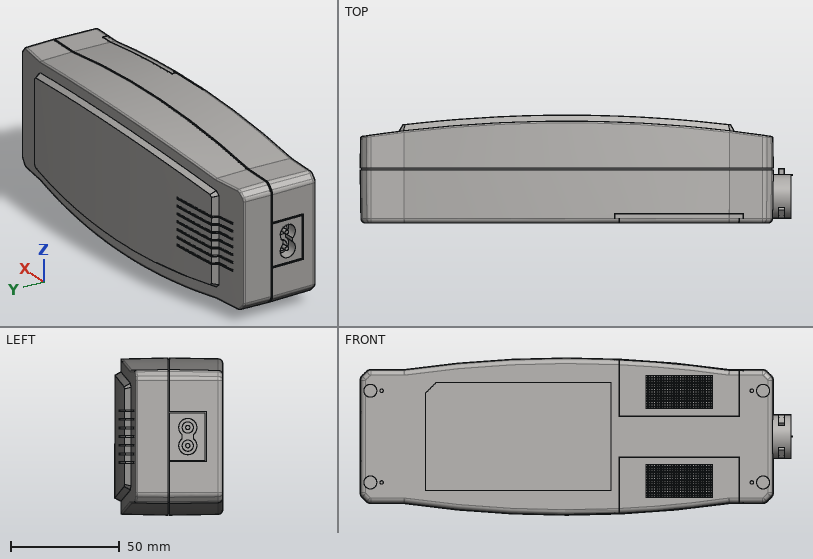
import cadquery as cq
import math

HALF_LENGTH = 94.9
HALF_WIDTH = 30.8
BULGE = 5.4
BULGE_HALF_LENGTH = 74.6
CORNER_CHAMFER = 3.8
CORNER_RADIUS = 3.0
FRONT_DEPTH = 24.8
BACK_DEPTH_MIDDLE = 22.0
BACK_DEPTH_END = 14.9
DRAFT = 1.0
FRONT_FILLET = 2.2
BACK_FILLET = 0.8

PAD_HEIGHT = 2.8
PAD_HALF_LENGTH = 77.0
PAD_HALF_WIDTH_END = 24.6
PAD_HALF_WIDTH_MIDDLE = 32.5
PAD_BASE_Y = 17.3
PAD_TOP_Y = BACK_DEPTH_MIDDLE + PAD_HEIGHT
PAD_BEVEL_ANGLE = 30.0
PAD_CORNER = 2.0
PAD_SLOT_COUNT = 7
PAD_SLOT_PITCH = 4.0
PAD_SLOT_WIDTH = 0.8
PAD_SLOT_START = -86.3
PAD_SLOT_END = -49.6

SEAM_DEPTH = 0.5
SEAM_WIDTH = 0.2
PARTING_WIDTH = 0.8

LABEL_LEFT = -64.7
LABEL_RIGHT = 20.2
LABEL_HALF_WIDTH = 24.8
LABEL_CHAMFER = 4.8
LABEL_DEPTH = 0.5

COVER_LEFT = 24.0
COVER_RIGHT = 79.2
COVER_INNER_Z = 9.3
COVER_SIDE_EXTRA = 2.0
COVER_SIDE_HEIGHT = 4.4
VENT_CENTRE_X = 51.5
VENT_CENTRE_Z = 20.5
VENT_COLUMNS = 26
VENT_ROWS = 13
VENT_PITCH = 1.2
VENT_HOLE = 0.8
VENT_DEPTH = 2.0

FOOT_X = 90.0
FOOT_Z = 21.0
FOOT_RADIUS = 3.0
FOOT_DEPTH = 1.5
PIN_HOLE_X = 85.0
PIN_HOLE_RADIUS = 0.8

INLET_HALF_WIDTH = 11.5
INLET_DEPTH_Y = 17.3
INLET_SEAM_WIDTH = 0.5
SOCKET_Y = -8.7
SOCKET_PIN_Z = 4.2
SOCKET_RADIUS = 4.2
SOCKET_WAIST = 5.2
SOCKET_DEPTH = 6.0
COLLAR_RADIUS = 2.5
COLLAR_HEIGHT = 1.0
CONTACT_RADIUS = 1.0
CONTACT_HEIGHT = 5.0

OVERALL_LENGTH = 198.5
PIP_SIZE = 0.5
CONNECTOR_END = OVERALL_LENGTH - HALF_LENGTH - PIP_SIZE
CONNECTOR_Y = -12.5
CONNECTOR_RADIUS = 10.1
LUG_X = 97.2
LUG_LENGTH = 2.5
KEY_LUG_RADIUS = 12.7
KEY_LUG_WIDTH = 4.0
SIDE_LUG_RADIUS = 11.3
SIDE_LUG_WIDTH = 5.2
SIDE_LUG_ANGLES = (135, 225)

CORNER_TOLERANCE = 0.02
SPAN = 119.0


def box(x_range, y_range, z_range):
    """Box given by its limits along each axis."""
    lows, highs = zip(x_range, y_range, z_range)
    sizes = [high - low for low, high in zip(lows, highs)]
    return cq.Workplane("XY").box(*sizes, centered=False).translate(lows)


def housing_outline(inset):
    """Bulged outline with blended chamfered corners, in local X and width."""
    length = HALF_LENGTH - inset
    width = HALF_WIDTH - inset
    flat_x = length - CORNER_CHAMFER
    flat_z = width - CORNER_CHAMFER
    wire = (
        cq.Workplane("XY")
        .moveTo(-length, -flat_z)
        .lineTo(-flat_x, -width)
        .lineTo(-BULGE_HALF_LENGTH, -width)
        .threePointArc((0, -width - BULGE), (BULGE_HALF_LENGTH, -width))
        .lineTo(flat_x, -width)
        .lineTo(length, -flat_z)
        .lineTo(length, flat_z)
        .lineTo(flat_x, width)
        .lineTo(BULGE_HALF_LENGTH, width)
        .threePointArc((0, width + BULGE), (-BULGE_HALF_LENGTH, width))
        .lineTo(-flat_x, width)
        .lineTo(-length, flat_z)
        .close()
        .val()
    )
    corners = [v for v in wire.Vertices() if abs(v.X) >= flat_x - CORNER_TOLERANCE]
    return wire.fillet2D(CORNER_RADIUS, corners)


def drafted_half(inset, depth, towards_back):
    """Housing outline pulled from the parting plane towards -Y or +Y."""
    half = cq.Workplane("XY").add(housing_outline(inset)).toPending().extrude(depth, taper=DRAFT)
    return half.rotate((0, 0, 0), (1, 0, 0), -90 if towards_back else 90)


def below_arch(lift):
    """Everything in front of the arched back surface raised by lift."""
    crown = BACK_DEPTH_MIDDLE + lift
    sagitta = BACK_DEPTH_MIDDLE - BACK_DEPTH_END
    radius = (HALF_LENGTH**2 + sagitta**2) / (2 * sagitta) + lift
    edge = crown - radius + math.sqrt(radius**2 - SPAN**2)
    return (
        cq.Workplane("XY")
        .moveTo(-SPAN, edge)
        .threePointArc((0, crown), (SPAN, edge))
        .lineTo(SPAN, -SPAN)
        .lineTo(-SPAN, -SPAN)
        .close()
        .extrude(SPAN, both=True)
    )


def front_half(inset):
    """Flat-faced front half of the housing, or of its core when inset."""
    half = drafted_half(inset, FRONT_DEPTH - inset, towards_back=False)
    return half.faces("<Y").edges().fillet(FRONT_FILLET)


def back_half(inset):
    """Arched back half of the housing, or of its core when inset."""
    half = drafted_half(inset, PAD_TOP_Y, towards_back=True)
    half = half.intersect(below_arch(-inset))
    return half.faces(">Y").edges().fillet(BACK_FILLET)


def pad(inset):
    """Pad under a raised copy of the arch, with bevelled sides."""
    length = PAD_HALF_LENGTH - inset
    width = PAD_HALF_WIDTH_END - inset
    middle = PAD_HALF_WIDTH_MIDDLE - inset
    flat_x = length - PAD_CORNER
    flat_z = width - PAD_CORNER
    block = (
        cq.Workplane("XZ", origin=(0, PAD_BASE_Y, 0))
        .moveTo(-length, -flat_z)
        .lineTo(-flat_x, -width)
        .threePointArc((0, -middle), (flat_x, -width))
        .lineTo(length, -flat_z)
        .lineTo(length, flat_z)
        .lineTo(flat_x, width)
        .threePointArc((0, middle), (-flat_x, width))
        .lineTo(-length, flat_z)
        .close()
        .extrude(PAD_BASE_Y - PAD_TOP_Y, taper=PAD_BEVEL_ANGLE)
    )
    return block.intersect(below_arch(PAD_HEIGHT - inset))


def pad_slots():
    """Shallow slots along X that cross the -X end of the pad and run on over the back."""
    first_z = -PAD_SLOT_PITCH * (PAD_SLOT_COUNT - 1) / 2
    half = PAD_SLOT_WIDTH / 2
    slots = cq.Workplane("XY")
    for index in range(PAD_SLOT_COUNT):
        z = first_z + index * PAD_SLOT_PITCH
        slots = slots.add(box((PAD_SLOT_START, PAD_SLOT_END), (0, SPAN), (z - half, z + half)))
    return slots.combine().cut(below_arch(-SEAM_DEPTH)).cut(pad(SEAM_DEPTH))


def cover_seam():
    """Gap around the vent cover on the +Z side, over the front and round onto the side."""
    fillet_y = -FRONT_DEPTH + FRONT_FILLET
    top_y = -FRONT_DEPTH + COVER_SIDE_HEIGHT
    side_left = COVER_LEFT - COVER_SIDE_EXTRA
    side_right = COVER_RIGHT + COVER_SIDE_EXTRA
    side_z = HALF_WIDTH - FRONT_FILLET
    on_front = box((COVER_LEFT, COVER_RIGHT), (-SPAN, fillet_y), (COVER_INNER_Z, SPAN)).cut(
        box(
            (COVER_LEFT + SEAM_WIDTH, COVER_RIGHT - SEAM_WIDTH),
            (-SPAN, fillet_y),
            (COVER_INNER_Z + SEAM_WIDTH, SPAN),
        )
    )
    on_side = box((side_left, side_right), (fillet_y, top_y), (side_z, SPAN)).cut(
        box(
            (side_left + SEAM_WIDTH, side_right - SEAM_WIDTH),
            (fillet_y, top_y - SEAM_WIDTH),
            (side_z, SPAN),
        )
    )
    return on_front.union(on_side)


def inlet_seam():
    """Gap around the inlet plate, which reaches from the parting plane towards the front."""
    inner_y = -INLET_DEPTH_Y + INLET_SEAM_WIDTH
    inner_z = INLET_HALF_WIDTH - INLET_SEAM_WIDTH
    plate = box((-SPAN, 0), (-INLET_DEPTH_Y, 0), (-INLET_HALF_WIDTH, INLET_HALF_WIDTH))
    return plate.cut(box((-SPAN, 0), (inner_y, 0), (-inner_z, inner_z)))


def seams():
    """Every gap between moulded parts, cut no deeper than the seam depth."""
    gap = PARTING_WIDTH / 2
    parting = box((-SPAN, SPAN), (-gap, gap), (-SPAN, SPAN))
    cover = cover_seam()
    cuts = parting.union(inlet_seam()).union(cover).union(cover.mirror("XY"))
    core = front_half(SEAM_DEPTH).union(back_half(SEAM_DEPTH))
    return cuts.cut(core)


def label_recess():
    """Shallow rectangular recess with one chamfered corner."""
    label = box(
        (LABEL_LEFT, LABEL_RIGHT),
        (-FRONT_DEPTH, -FRONT_DEPTH + LABEL_DEPTH),
        (-LABEL_HALF_WIDTH, LABEL_HALF_WIDTH),
    )
    return label.edges("<X and >Z").chamfer(LABEL_CHAMFER)


def front_plane(depth):
    """Workplane at the given depth inside the front face, with local axes X and Z."""
    return cq.Workplane("XZ", origin=(0, depth - FRONT_DEPTH, 0))


def vent(centre_z):
    """Grid of small square blind holes in one vent cover."""
    return (
        front_plane(VENT_DEPTH)
        .center(VENT_CENTRE_X, centre_z)
        .rarray(VENT_PITCH, VENT_PITCH, VENT_COLUMNS, VENT_ROWS)
        .rect(VENT_HOLE, VENT_HOLE)
        .extrude(VENT_DEPTH)
    )


def four_holes(x, radius):
    """Blind front holes at plus and minus x, in line with the feet."""
    corners = [(side * x, end * FOOT_Z) for side in (-1, 1) for end in (-1, 1)]
    return front_plane(FOOT_DEPTH).pushPoints(corners).circle(radius).extrude(FOOT_DEPTH)


def inlet_socket():
    """Figure-of-eight socket cavity around a collared contact in each lobe."""
    floor = cq.Workplane("YZ", origin=(-HALF_LENGTH + SOCKET_DEPTH, SOCKET_Y, 0))
    lobes = [(0, SOCKET_PIN_Z), (0, -SOCKET_PIN_Z)]
    cavity = floor.pushPoints(lobes).circle(SOCKET_RADIUS).extrude(-SOCKET_DEPTH)
    cavity = cavity.union(floor.rect(SOCKET_WAIST, 2 * SOCKET_PIN_Z).extrude(-SOCKET_DEPTH))
    collars = floor.pushPoints(lobes).circle(COLLAR_RADIUS).extrude(-COLLAR_HEIGHT)
    contacts = floor.pushPoints(lobes).circle(CONTACT_RADIUS).extrude(-CONTACT_HEIGHT)
    return cavity.cut(collars).cut(contacts)


def lug(radius, width, angle):
    """Bayonet lug on the connector; the angle is measured from +Y towards +Z."""
    block = box((LUG_X, LUG_X + LUG_LENGTH), (0, radius), (-width / 2, width / 2))
    return block.rotate((0, 0, 0), (1, 0, 0), angle).translate((0, CONNECTOR_Y, 0))


def connector():
    """Barrel with bayonet lugs and an index pip, rooted inside the housing end."""
    base_x = HALF_LENGTH - CORNER_CHAMFER
    barrel = (
        cq.Workplane("YZ", origin=(base_x, CONNECTOR_Y, 0))
        .circle(CONNECTOR_RADIUS)
        .extrude(CONNECTOR_END - base_x)
    )
    barrel = barrel.union(lug(KEY_LUG_RADIUS, KEY_LUG_WIDTH, 0))
    for angle in SIDE_LUG_ANGLES:
        barrel = barrel.union(lug(SIDE_LUG_RADIUS, SIDE_LUG_WIDTH, angle))
    pip_top = CONNECTOR_Y + CONNECTOR_RADIUS
    pip = box(
        (LUG_X, CONNECTOR_END + PIP_SIZE),
        (pip_top - PIP_SIZE, pip_top),
        (-PIP_SIZE / 2, PIP_SIZE / 2),
    )
    return barrel.union(pip)


result = (
    front_half(0)
    .union(back_half(0))
    .union(pad(0))
    .cut(pad_slots())
    .cut(seams())
    .cut(label_recess())
    .cut(four_holes(FOOT_X, FOOT_RADIUS))
    .cut(four_holes(PIN_HOLE_X, PIN_HOLE_RADIUS))
    .cut(inlet_socket())
    .union(connector())
    .cut(vent(VENT_CENTRE_Z))
    .cut(vent(-VENT_CENTRE_Z))
)